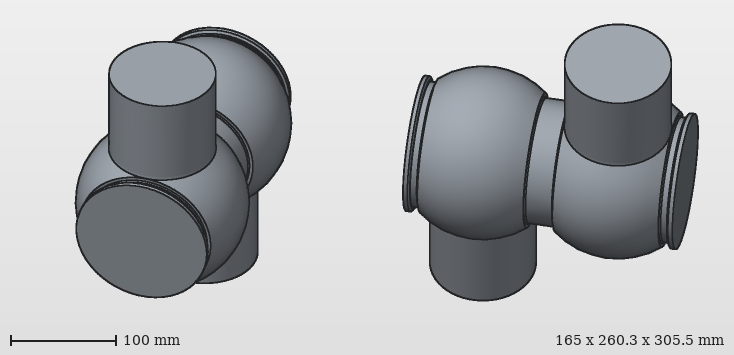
import cadquery as cq
import math

total_height = 305.5
body_length = 260.3
ball_radius = 82.5
ball_gap = 28.0
ball_width = 102.5
neck_radius = 60.2
neck_taper_radius = 61.5
neck_taper_length = 1.5
flange_radius = 65.0
flange_rim = 4.3
flange_taper = 1.8
flange_inner_radius = 62.3
pipe_radius = 50.7
pipe_taper_radius = 51.0
pipe_taper_length = 3.0

half_length = body_length / 2
half_height = total_height / 2
inner_flat = ball_gap / 2
outer_flat = inner_flat + ball_width
ball_offset = (inner_flat + outer_flat) / 2
flat_radius = math.sqrt(ball_radius**2 - (ball_width / 2) ** 2)
pipe_base_z = math.sqrt(ball_radius**2 - pipe_taper_radius**2)


def half_body(side):
    """Neck, ball and end flange on one side (-1 or 1) of the middle, turned about Y."""
    rim_y = half_length - flange_rim
    taper_y = rim_y - flange_taper
    profile = (
        cq.Workplane("XY")
        .moveTo(0, 0)
        .lineTo(neck_radius, 0)
        .lineTo(neck_radius, side * (inner_flat - neck_taper_length))
        .lineTo(neck_taper_radius, side * inner_flat)
        .lineTo(flat_radius, side * inner_flat)
        .threePointArc((ball_radius, side * ball_offset), (flat_radius, side * outer_flat))
        .lineTo(neck_taper_radius, side * outer_flat)
        .lineTo(neck_radius, side * (outer_flat + neck_taper_length))
        .lineTo(neck_radius, side * taper_y)
        .lineTo(flange_inner_radius, side * taper_y)
        .lineTo(flange_radius, side * rim_y)
        .lineTo(flange_radius, side * half_length)
        .lineTo(0, side * half_length)
        .close()
    )
    return profile.revolve(360, (0, 0), (0, 1))


def pipe(side, direction):
    """Vertical pipe with a slightly flared foot, up (1) or down (-1) from a ball centre."""
    taper_top = pipe_base_z + pipe_taper_length
    profile = (
        cq.Workplane("XZ", origin=(0, side * ball_offset, 0))
        .moveTo(0, 0)
        .lineTo(pipe_taper_radius, 0)
        .lineTo(pipe_taper_radius, direction * pipe_base_z)
        .lineTo(pipe_radius, direction * taper_top)
        .lineTo(pipe_radius, direction * half_height)
        .lineTo(0, direction * half_height)
        .close()
    )
    return profile.revolve(360, (0, 0), (0, 1))


front = half_body(-1).union(pipe(-1, 1))
back = half_body(1).union(pipe(1, -1))
result = front.union(back)